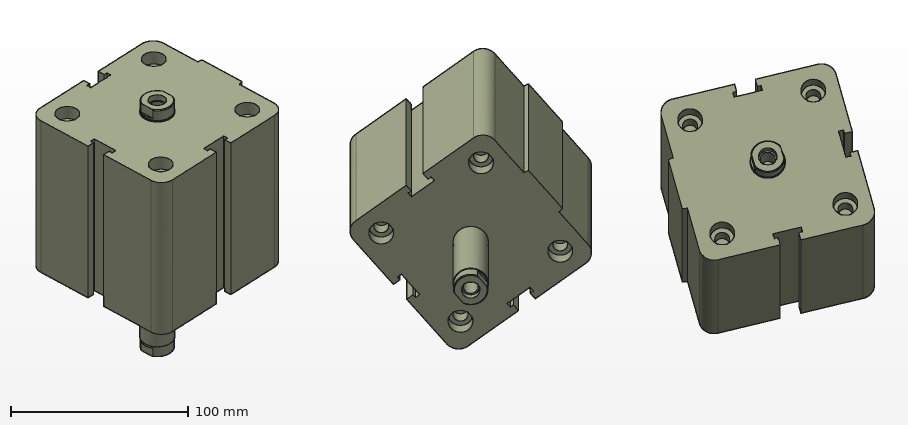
import cadquery as cq

housing_width = 102.0
housing_height = 105.6
corner_radius = 8.6

rail_height = 3.0
rail_base_width = 32.0
rail_crest_width = 31.0

slot_mouth_width = 12.0
slot_inner_width = 16.5
slot_depth = 7.5
slot_lip = 4.6

screw_spacing = 71.9
screw_head_diameter = 14.0
screw_head_depth = 8.5
screw_bore_diameter = 8.5
screw_bore_depth = 17.2

rod_length = 172.0
rod_diameter = 20.0
rod_top_projection = 8.0

neck_diameter = 19.5
neck_length = 7.2
neck_chamfer = 0.5
flats_across = 17.0
flats_length = 6.0

mouth_diameter = 10.3
mouth_depth = 4.0
thread_diameter = 8.5
thread_depth = 17.2

half_width = housing_width / 2
rod_top = housing_height + rod_top_projection
rod_bottom = rod_top - rod_length
rod_middle = (rod_top + rod_bottom) / 2


def stepped_hole(wide_diameter, wide_depth, narrow_diameter, total_depth):
    """Cutter for a stepped blind hole, entering the plane Z = 0 from above."""
    wide_part = cq.Workplane("XY").circle(wide_diameter / 2).extrude(-wide_depth)
    narrow_part = cq.Workplane("XY").circle(narrow_diameter / 2).extrude(-total_depth)
    return wide_part.union(narrow_part)


def mirrored_in_z(shape, middle):
    """Copy of a shape reflected in the horizontal plane Z = middle."""
    return shape.mirror("XY", (0, 0, middle))


def t_slot():
    """Cutter for the T-slot on the -Y side, over the full housing height."""
    mouth = cq.Workplane("XY").rect(slot_mouth_width, 2 * slot_depth).extrude(housing_height)
    undercut_depth = slot_depth - slot_lip
    undercut = (
        cq.Workplane("XY")
        .center(0, slot_lip + undercut_depth / 2)
        .rect(slot_inner_width, undercut_depth)
        .extrude(housing_height)
    )
    return mouth.union(undercut).translate((0, -half_width, 0))


def rail():
    """Raised rail on the +Y side."""
    outline = [
        (-rail_base_width / 2, half_width),
        (-rail_crest_width / 2, half_width + rail_height),
        (rail_crest_width / 2, half_width + rail_height),
        (rail_base_width / 2, half_width),
    ]
    return cq.Workplane("XY").polyline(outline).close().extrude(housing_height)


def screw_holes():
    """Cutters for the corner holes of the top face."""
    hole = stepped_hole(screw_head_diameter, screw_head_depth, screw_bore_diameter, screw_bore_depth)
    return (
        cq.Workplane("XY")
        .workplane(offset=housing_height)
        .rarray(screw_spacing, screw_spacing, 2, 2)
        .eachpoint(hole.val(), combine=False)
    )


def build_housing():
    block = (
        cq.Workplane("XY")
        .rect(housing_width, housing_width)
        .extrude(housing_height)
        .edges("|Z")
        .fillet(corner_radius)
        .union(rail())
    )
    for angle in (-90, 0, 90):
        block = block.cut(t_slot().rotate((0, 0, 0), (0, 0, 1), angle))
    top_holes = screw_holes()
    block = block.cut(top_holes).cut(mirrored_in_z(top_holes, housing_height / 2))
    rod_hole = cq.Workplane("XY").circle(rod_diameter / 2).extrude(housing_height)
    return block.cut(rod_hole)


def rod_profile():
    """Half section of the rod in the XZ plane, without the end holes."""
    rod_radius = rod_diameter / 2
    neck_radius = neck_diameter / 2
    step = rod_radius - neck_radius
    return (
        cq.Workplane("XZ")
        .moveTo(0, rod_bottom)
        .lineTo(neck_radius - neck_chamfer, rod_bottom)
        .lineTo(neck_radius, rod_bottom + neck_chamfer)
        .lineTo(neck_radius, rod_bottom + neck_length)
        .lineTo(rod_radius, rod_bottom + neck_length + step)
        .lineTo(rod_radius, rod_top - neck_length - step)
        .lineTo(neck_radius, rod_top - neck_length)
        .lineTo(neck_radius, rod_top - neck_chamfer)
        .lineTo(neck_radius - neck_chamfer, rod_top)
        .lineTo(0, rod_top)
        .close()
    )


def wrench_flats():
    """Cutter for the two flats at the top end of the rod, facing -Y and +Y."""
    return (
        cq.Workplane("XY")
        .workplane(offset=rod_top - flats_length)
        .rect(2 * rod_diameter, 2 * rod_diameter)
        .rect(2 * rod_diameter, flats_across)
        .extrude(flats_length)
    )


def build_rod():
    rod = rod_profile().revolve(360, (0, 0, 0), (0, 1, 0))
    end_hole = stepped_hole(mouth_diameter, mouth_depth, thread_diameter, thread_depth)
    for cutter in (wrench_flats(), end_hole.translate((0, 0, rod_top))):
        rod = rod.cut(cutter).cut(mirrored_in_z(cutter, rod_middle))
    return rod


housing = build_housing()
rod = build_rod()

result = cq.Compound.makeCompound([housing.val(), rod.val()])